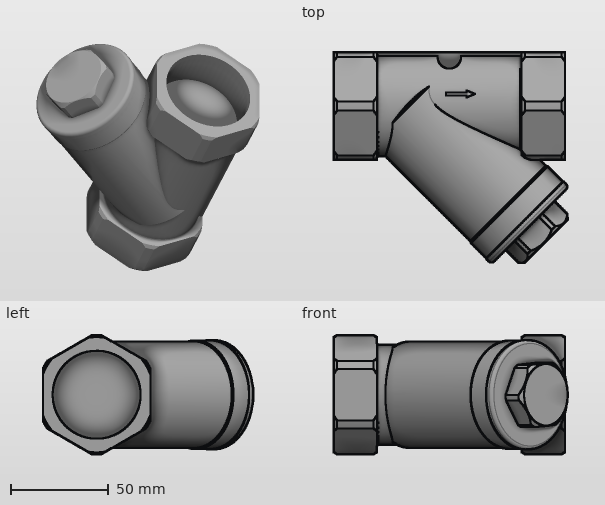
import cadquery as cq
import math


RUN_LENGTH = 118.2
PIPE_DIAMETER = 51.3
SOCKET_LENGTH = 22.1
SOCKET_FLATS = 55.0
SOCKET_CORNERS = 61.0
SOCKET_CHAMFER_RADIAL = 1.1
SOCKET_CHAMFER_AXIAL = 1.8
SOCKET_FILLET = 0.8
BORE_DIAMETER = 45.0
BORE_DEPTH = 22.0

BRANCH_ANGLE = 45.0
BRANCH_CROSSING_X = 39.3
BRANCH_DIAMETER = 54.5
BRANCH_START = -1.7
BRANCH_BEVEL_RADIAL = 1.5
BRANCH_BEVEL_AXIAL = 1.2
COLLAR_DIAMETER = 55.5
COLLAR_START = 70.3
COLLAR_TAPER = 0.8
CAP_DIAMETER = 56.0
CAP_START = 82.3
CAP_THICKNESS = 4.0
CAP_FILLET = 1.8

HEAD_LENGTH = 11.5
HEAD_FLATS = 31.9
HEAD_CORNERS = 35.4
HEAD_CHAMFER_RADIAL = 1.9
HEAD_CHAMFER_AXIAL = 2.2
HEAD_TURN = 4.8

RIB_TOP = 0.0
RIB_THICKNESS = 4.8
NOTCH_RADIUS = 6.0
NOTCH_CENTRE_Y = 25.1

ARROW_TAIL_X = 57.4
ARROW_NECK_X = 67.9
ARROW_TIP_X = 72.1
ARROW_Y = 6.2
ARROW_SHAFT_WIDTH = 1.5
ARROW_HEAD_WIDTH = 3.6
ARROW_HEIGHT = 1.0

RUN_PLANE = cq.Plane(origin=(0, 0, 0), xDir=(0, 1, 0), normal=(1, 0, 0))
branch_direction = (math.cos(math.radians(BRANCH_ANGLE)), -math.sin(math.radians(BRANCH_ANGLE)), 0)
branch_side = (-branch_direction[1], branch_direction[0], 0)
BRANCH_PLANE = cq.Plane(origin=(BRANCH_CROSSING_X, 0, 0), xDir=branch_side, normal=branch_direction)


def revolved(profile):
    """Solid of revolution about local Z from (radius, height) points."""
    outline = [(0, profile[0][1])] + profile + [(0, profile[-1][1])]
    return cq.Workplane("XZ").polyline(outline).close().revolve(360, (0, 0, 0), (0, 1, 0))


def hexagon(flats, length, turn):
    """Hexagonal prism along local Z with one corner at the given angle from local X."""
    corner_circle = flats / math.cos(math.pi / 6)
    return cq.Workplane("XY").polygon(6, corner_circle).extrude(length).rotate((0, 0, 0), (0, 0, 1), turn)


def placed(solid, plane):
    """Move a solid from local axes onto a plane."""
    return solid.newObject([solid.val().moved(plane.location)])


def make_socket():
    """Hexagonal socket with turned corners, chamfered at both ends."""
    corner_radius = SOCKET_CORNERS / 2
    end_radius = corner_radius - SOCKET_CHAMFER_RADIAL
    turned = revolved([
        (end_radius, 0),
        (corner_radius, SOCKET_CHAMFER_AXIAL),
        (corner_radius, SOCKET_LENGTH - SOCKET_CHAMFER_AXIAL),
        (end_radius, SOCKET_LENGTH),
    ])
    return hexagon(SOCKET_FLATS, SOCKET_LENGTH, 90).intersect(turned)


def make_run():
    """Pipe between two sockets, with a fillet where it meets each socket."""
    pipe_length = RUN_LENGTH - 2 * SOCKET_LENGTH
    pipe_radius = PIPE_DIAMETER / 2
    flared_radius = pipe_radius + SOCKET_FILLET
    arc_offset = SOCKET_FILLET * (1 - math.sqrt(0.5))
    pipe = (
        cq.Workplane("XZ")
        .lineTo(flared_radius, 0)
        .threePointArc((pipe_radius + arc_offset, arc_offset), (pipe_radius, SOCKET_FILLET))
        .lineTo(pipe_radius, pipe_length - SOCKET_FILLET)
        .threePointArc((pipe_radius + arc_offset, pipe_length - arc_offset), (flared_radius, pipe_length))
        .lineTo(0, pipe_length)
        .close()
        .revolve(360, (0, 0, 0), (0, 1, 0))
        .translate((0, 0, SOCKET_LENGTH))
    )
    socket = make_socket()
    far_socket = socket.translate((0, 0, RUN_LENGTH - SOCKET_LENGTH))
    return placed(pipe.union(socket).union(far_socket), RUN_PLANE)


def add_rib(body):
    """Rib along the back of the pipe, flush with the socket flats, and the notch above it."""
    length = RUN_LENGTH - 2 * SOCKET_LENGTH
    rib = cq.Workplane("XY").box(length, SOCKET_FLATS / 2, RIB_THICKNESS, centered=False)
    rib = rib.translate((SOCKET_LENGTH, 0, RIB_TOP - RIB_THICKNESS))
    notch = (
        cq.Workplane("XY", origin=(RUN_LENGTH / 2, NOTCH_CENTRE_Y, RIB_TOP))
        .circle(NOTCH_RADIUS)
        .extrude(PIPE_DIAMETER / 2)
    )
    return body.union(rib).cut(notch)


def make_branch():
    """Branch barrel with its collar, rounded cap and hexagonal head."""
    barrel_radius = BRANCH_DIAMETER / 2
    collar_radius = COLLAR_DIAMETER / 2
    barrel = revolved([
        (barrel_radius - BRANCH_BEVEL_RADIAL, BRANCH_START),
        (barrel_radius, BRANCH_START + BRANCH_BEVEL_AXIAL),
        (barrel_radius, COLLAR_START),
        (collar_radius, COLLAR_START + COLLAR_TAPER),
        (collar_radius, CAP_START),
    ])
    cap = cq.Workplane("XY").circle(CAP_DIAMETER / 2).extrude(CAP_THICKNESS)
    cap = cap.faces(">Z").edges().fillet(CAP_FILLET).translate((0, 0, CAP_START))

    corner_radius = HEAD_CORNERS / 2
    turned = revolved([
        (corner_radius, 0),
        (corner_radius, HEAD_LENGTH - HEAD_CHAMFER_AXIAL),
        (corner_radius - HEAD_CHAMFER_RADIAL, HEAD_LENGTH),
    ])
    head = hexagon(HEAD_FLATS, HEAD_LENGTH, HEAD_TURN).intersect(turned)
    head = head.translate((0, 0, CAP_START + CAP_THICKNESS))
    return placed(barrel.union(cap).union(head), BRANCH_PLANE)


def make_arrow():
    """Flow arrow raised evenly above the pipe surface."""
    half_shaft = ARROW_SHAFT_WIDTH / 2
    half_head = ARROW_HEAD_WIDTH / 2
    outline = [
        (ARROW_TAIL_X, -half_shaft),
        (ARROW_NECK_X, -half_shaft),
        (ARROW_NECK_X, -half_head),
        (ARROW_TIP_X, 0),
        (ARROW_NECK_X, half_head),
        (ARROW_NECK_X, half_shaft),
        (ARROW_TAIL_X, half_shaft),
    ]
    prism = cq.Workplane("XY").polyline(outline).close().extrude(PIPE_DIAMETER).translate((0, ARROW_Y, 0))
    raised_surface = cq.Workplane(RUN_PLANE).circle(PIPE_DIAMETER / 2 + ARROW_HEIGHT).extrude(RUN_LENGTH)
    return prism.intersect(raised_surface)


def make_bores():
    """Blind round bore in each socket."""
    bore = cq.Workplane(RUN_PLANE).circle(BORE_DIAMETER / 2).extrude(BORE_DEPTH)
    return bore.union(bore.translate((RUN_LENGTH - BORE_DEPTH, 0, 0)))


body = add_rib(make_run().union(make_branch()))
result = body.union(make_arrow()).cut(make_bores())